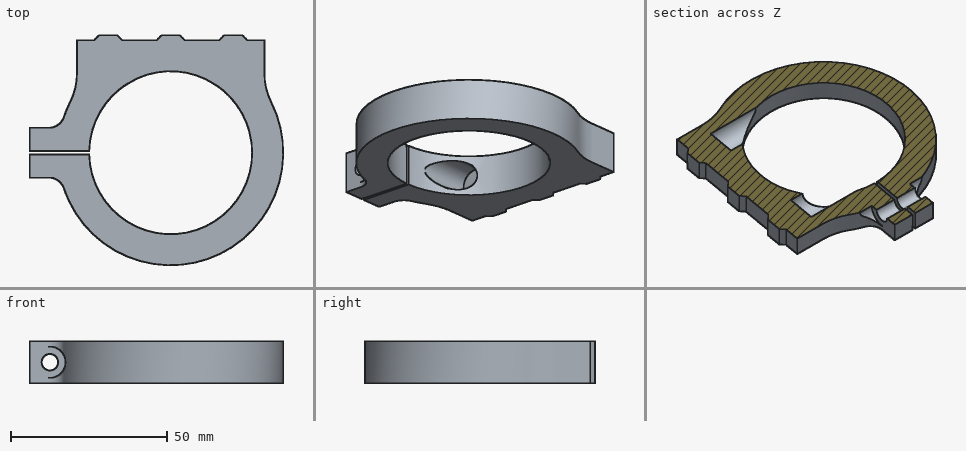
import cadquery as cq
import math

thickness = 13.5
bore_radius = 26.0
ring_radius = 36.0

rail_half_width = 30.0
rail_face_y = ring_radius
rail_blend_radius = 20.0
tooth_pitch = 20.0
tooth_count = 3
tooth_height = 1.57
tooth_top_width = 5.8
tooth_base_width = tooth_top_width + 2 * tooth_height

lug_end_x = -45.05
lug_half_height = 8.0
lug_fillet_radius = 5.0
slot_width = 1.0

bolt_hole_diameter = 5.2
head_diameter = 10.0
bolt_x = -(ring_radius + bolt_hole_diameter / 2)

recess_diameter = 10.0
recess_x = tooth_pitch
recess_end_y = bore_radius


def slab(outline):
    """Extrude a closed XY outline over the full thickness, centred on Z = 0."""
    return outline.extrude(thickness / 2, both=True)


def y_cylinder(diameter, x, start_y, end_y):
    """Cylinder along Y at mid thickness."""
    origin = cq.Vector(x, start_y, 0)
    return cq.Workplane(cq.Solid.makeCylinder(diameter / 2, end_y - start_y, origin, cq.Vector(0, 1, 0)))


def ring_blend(center_x, center_y, radius, start_angle):
    """Middle and end of a concave arc that starts at start_angle and ends tangent to the ring."""
    ring_share = ring_radius / (ring_radius + radius)
    touch = (center_x * ring_share, center_y * ring_share)
    inward_angle = math.atan2(-center_y, -center_x)
    turn = math.remainder(inward_angle - start_angle, 2 * math.pi)
    mid_angle = start_angle + turn / 2
    middle = (center_x + radius * math.cos(mid_angle), center_y + radius * math.sin(mid_angle))
    return middle, touch


def ring_body():
    return slab(cq.Workplane("XY").circle(ring_radius))


def rail_block():
    """Block with concave blends that run tangent from its sides into the ring."""
    blend_x = rail_half_width + rail_blend_radius
    blend_y = math.sqrt((ring_radius + rail_blend_radius) ** 2 - blend_x**2)
    (mid_x, mid_y), (touch_x, touch_y) = ring_blend(blend_x, blend_y, rail_blend_radius, math.pi)
    return slab(
        cq.Workplane("XY")
        .moveTo(-rail_half_width, rail_face_y)
        .lineTo(rail_half_width, rail_face_y)
        .lineTo(rail_half_width, blend_y)
        .threePointArc((mid_x, mid_y), (touch_x, touch_y))
        .lineTo(0, 0)
        .lineTo(-touch_x, touch_y)
        .threePointArc((-mid_x, mid_y), (-rail_half_width, blend_y))
        .close()
    )


def tooth(x):
    """Trapezoidal tooth standing on the rail face."""
    return slab(
        cq.Workplane("XY").polyline(
            [
                (x - tooth_base_width / 2, rail_face_y),
                (x - tooth_top_width / 2, rail_face_y + tooth_height),
                (x + tooth_top_width / 2, rail_face_y + tooth_height),
                (x + tooth_base_width / 2, rail_face_y),
            ]
        ).close()
    )


def lugs():
    """Both lugs as one tongue, with fillets that run tangent into the ring."""
    fillet_y = lug_half_height + lug_fillet_radius
    fillet_x = -math.sqrt((ring_radius + lug_fillet_radius) ** 2 - fillet_y**2)
    downward = -math.pi / 2
    (mid_x, mid_y), (touch_x, touch_y) = ring_blend(fillet_x, fillet_y, lug_fillet_radius, downward)
    return slab(
        cq.Workplane("XY")
        .moveTo(lug_end_x, lug_half_height)
        .lineTo(fillet_x, lug_half_height)
        .threePointArc((mid_x, mid_y), (touch_x, touch_y))
        .lineTo(0, 0)
        .lineTo(touch_x, -touch_y)
        .threePointArc((mid_x, -mid_y), (fillet_x, -lug_half_height))
        .lineTo(lug_end_x, -lug_half_height)
        .close()
    )


def clamp_slot():
    slot_length = -lug_end_x
    return cq.Workplane("XY").box(slot_length, slot_width, thickness).translate((lug_end_x / 2, 0, 0))


def bolt_cuts():
    """Bolt clearance hole through both lugs and head clearance outside each lug."""
    hole = y_cylinder(bolt_hole_diameter, bolt_x, -lug_half_height, lug_half_height)
    upper_head = y_cylinder(head_diameter, bolt_x, lug_half_height, ring_radius)
    lower_head = y_cylinder(head_diameter, bolt_x, -ring_radius, -lug_half_height)
    return hole.union(upper_head).union(lower_head)


def bore_recess(x):
    """Flat-bottomed recess that starts in the open bore and runs toward the rail face."""
    return y_cylinder(recess_diameter, x, 0, recess_end_y)


result = ring_body().union(rail_block()).union(lugs())
for index in range(tooth_count):
    result = result.union(tooth((index - (tooth_count - 1) / 2) * tooth_pitch))

result = result.cut(slab(cq.Workplane("XY").circle(bore_radius)))
result = result.cut(clamp_slot()).cut(bolt_cuts())
for x in (-recess_x, recess_x):
    result = result.cut(bore_recess(x))